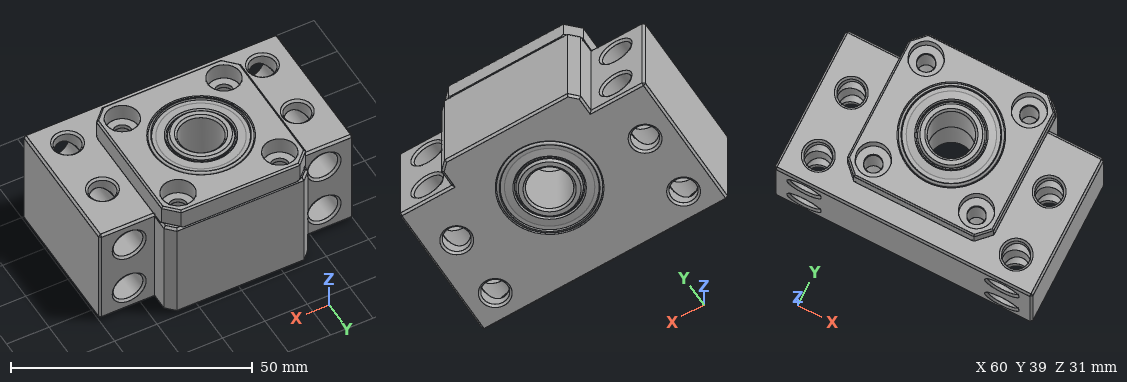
import cadquery as cq
import math

housing_width = 60.0
housing_height = 25.0
housing_front = -22.0
wing_depth = 33.0
housing_edge = 0.5

square_side = 34.0
neck_corner = 2.0
neck_rear = square_side / 2

cover_thickness = 5.0
cover_corner = 3.0
cover_edge = 0.4
cover_top = housing_height + cover_thickness

bearing_diameter = 22.0
bore_mouth_chamfer = 0.25

mount_half_spacing = 23.0
vertical_hole_diameter = 6.0
vertical_hole_rows = (-15.5, -0.5)
front_hole_diameter = 7.0
front_hole_rows = (6.0, 19.0)
hole_chamfer = 0.5

screw_half_spacing = 12.0
screw_hole_diameter = 4.0
screw_head_diameter = 7.5
screw_head_depth = 4.0
screw_hole_depth = 10.0
drill_point_angle = 118.0

shaft_bore_radius = 5.0
collar_radius = 7.0
collar_chamfer = 0.5
collar_rise = 0.5
gap_outer_radius = 7.3
gap_floor = -0.4
seal_crest_radius = 7.6
seal_crest = 0.0
seal_foot_radius = 9.35
seal_floor = -0.2
ring_inner_radius = 20.47 / 2
ring_rim_radius = 10.4
ring_rise = 0.2
ring_fillet = 0.5


def chamfered_hole_cutter(diameter, length, chamfer):
    """Cutter along +Z from Z = 0, with a countersink at each end."""
    radius = diameter / 2
    return (
        cq.Workplane("XZ")
        .moveTo(0, 0)
        .lineTo(radius + chamfer, 0)
        .lineTo(radius, chamfer)
        .lineTo(radius, length - chamfer)
        .lineTo(radius + chamfer, length)
        .lineTo(0, length)
        .close()
        .revolve(360, (0, 0, 0), (0, 1, 0))
    )


def screw_points():
    return [(x, y) for x in (-screw_half_spacing, screw_half_spacing)
            for y in (-screw_half_spacing, screw_half_spacing)]


def bearing_bore_cutter():
    """Bore for the bearing units through the housing and the cover."""
    return chamfered_hole_cutter(bearing_diameter, cover_top, bore_mouth_chamfer)


def make_housing():
    wings = (
        cq.Workplane("XY")
        .box(housing_width, wing_depth, housing_height, centered=(True, False, False))
        .translate((0, housing_front, 0))
        .edges()
        .chamfer(housing_edge)
    )
    neck = (
        cq.Workplane("XY")
        .box(square_side, neck_rear, housing_height, centered=(True, False, False))
        .edges("|Z and >Y")
        .chamfer(neck_corner)
        .faces(">Z or <Z")
        .edges("not <Y")
        .chamfer(housing_edge)
    )
    body = wings.union(neck).cut(bearing_bore_cutter())

    for x in (-mount_half_spacing, mount_half_spacing):
        for y in vertical_hole_rows:
            drill = chamfered_hole_cutter(vertical_hole_diameter, housing_height, hole_chamfer)
            body = body.cut(drill.translate((x, y, 0)))
        for z in front_hole_rows:
            drill = chamfered_hole_cutter(front_hole_diameter, wing_depth, hole_chamfer)
            drill = drill.rotate((0, 0, 0), (1, 0, 0), -90)
            body = body.cut(drill.translate((x, housing_front, z)))

    hole_radius = screw_hole_diameter / 2
    point_depth = hole_radius / math.tan(math.radians(drill_point_angle / 2))
    drill = (
        cq.Workplane("XZ")
        .moveTo(0, housing_height)
        .lineTo(hole_radius, housing_height)
        .lineTo(hole_radius, housing_height - screw_hole_depth)
        .lineTo(0, housing_height - screw_hole_depth - point_depth)
        .close()
        .revolve(360, (0, 0, 0), (0, 1, 0))
    )
    for x, y in screw_points():
        body = body.cut(drill.translate((x, y, 0)))
    return body


def make_cover():
    plate = (
        cq.Workplane("XY", origin=(0, 0, housing_height))
        .rect(square_side, square_side)
        .extrude(cover_thickness)
        .edges("|Z")
        .chamfer(cover_corner)
        .faces(">Z")
        .edges()
        .chamfer(cover_edge)
    )
    plate = (
        plate.faces("<Z")
        .edges("not (|X or |Y)")
        .chamfer(cover_edge)
    )
    plate = (
        plate.faces(">Z")
        .workplane(origin=(0, 0, cover_top))
        .pushPoints(screw_points())
        .cboreHole(screw_hole_diameter, screw_head_diameter, screw_head_depth)
    )
    return plate.cut(bearing_bore_cutter())


def make_bearing_unit():
    """Upper bearing unit: collar, sealing ring and outer ring as one turned piece."""
    bearing_radius = bearing_diameter / 2
    fillet_centre_radius = bearing_radius - ring_fillet
    fillet_reach = ring_fillet * math.sqrt(0.5)
    ring_top = cover_top + ring_rise
    collar_top = cover_top + collar_rise
    fillet_middle = (fillet_centre_radius + fillet_reach, ring_top - ring_fillet + fillet_reach)
    return (
        cq.Workplane("XZ")
        .moveTo(shaft_bore_radius, cover_top / 2)
        .lineTo(shaft_bore_radius, collar_top - collar_chamfer)
        .lineTo(shaft_bore_radius + collar_chamfer, collar_top)
        .lineTo(collar_radius - collar_chamfer, collar_top)
        .lineTo(collar_radius, collar_top - collar_chamfer)
        .lineTo(collar_radius, cover_top + gap_floor)
        .lineTo(gap_outer_radius, cover_top + gap_floor)
        .lineTo(seal_crest_radius, cover_top + seal_crest)
        .lineTo(seal_foot_radius, cover_top + seal_floor)
        .lineTo(ring_inner_radius, cover_top + seal_floor)
        .lineTo(ring_rim_radius, ring_top)
        .lineTo(fillet_centre_radius, ring_top)
        .threePointArc(fillet_middle, (bearing_radius, ring_top - ring_fillet))
        .lineTo(bearing_radius, cover_top / 2)
        .close()
        .revolve(360, (0, 0, 0), (0, 1, 0))
    )


housing = make_housing()
cover = make_cover()
upper_bearing = make_bearing_unit()
lower_bearing = upper_bearing.mirror("XY", (0, 0, cover_top / 2))

result = cq.Compound.makeCompound(
    [housing.val(), cover.val(), upper_bearing.val(), lower_bearing.val()]
)